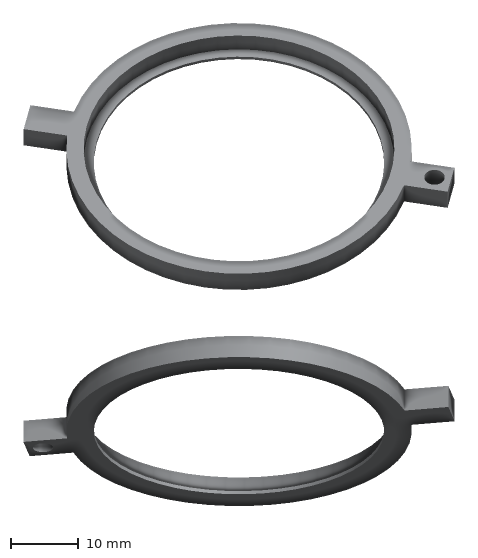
import cadquery as cq
import math

outer_diameter = 51.1
bore_diameter = 46.0
lip_diameter = 43.0
height = 3.5
lip_thickness = 0.5

overall_length_y = 57.95
tab_width = 5.0
tab_angle = 60.0
hole_diameter = 3.0
hole_end_distance = tab_width / 2

tab_radians = math.radians(tab_angle)
corner_rise = tab_width / 2 * math.cos(tab_radians)
tab_reach = (overall_length_y / 2 - corner_rise) / math.sin(tab_radians)


def make_disc(diameter, thickness):
    return cq.Workplane("XY").circle(diameter / 2).extrude(thickness)


def make_tab_bar():
    """Straight bar across the ring whose ends form both tabs."""
    return (
        cq.Workplane("XY")
        .rect(2 * tab_reach, tab_width)
        .extrude(height)
        .rotate((0, 0, 0), (0, 0, 1), tab_angle)
    )


def make_tab_hole():
    """Through hole in the upper tab only."""
    hole_radius_from_centre = tab_reach - hole_end_distance
    return make_disc(hole_diameter, height).translate(
        (
            hole_radius_from_centre * math.cos(tab_radians),
            hole_radius_from_centre * math.sin(tab_radians),
            0,
        )
    )


body = make_disc(outer_diameter, height).union(make_tab_bar())

bore = make_disc(bore_diameter, height - lip_thickness).translate((0, 0, lip_thickness))
lip_opening = make_disc(lip_diameter, height)

result = body.cut(bore).cut(lip_opening).cut(make_tab_hole())